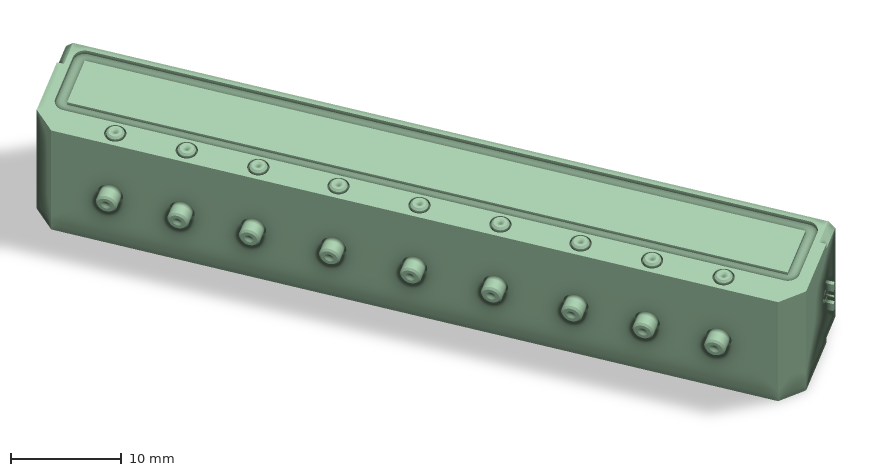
import cadquery as cq
import math

OVERALL_LENGTH = 74.4
OVERALL_WIDTH = 12.1
OVERALL_HEIGHT = 13.7

HOUSING_LENGTH = 72.85
HOUSING_WIDTH = 10.7
HOUSING_HEIGHT = 13.4
CORNER_CHAMFER = 2.0

GROOVE_SIDE_MARGIN = 1.2
GROOVE_BACK_MARGIN = 0.5
GROOVE_FRONT_MARGIN = 2.7
GROOVE_WIDTH = 1.1
GROOVE_DEPTH = 0.45
GROOVE_RADIUS = 1.1
PANEL_DROP = 0.11

BEVEL_LENGTH = 2.7
BEVEL_SIZE = 0.7

CONTACT_FROM_BACK = 2.8
CONTACT_PIN_DIAMETER = 0.2
CONTACT_RING_INNER = 0.9
CONTACT_RING_OUTER = 1.6
CONTACT_RING_DEPTH = 0.4
BLADE_THICKNESS = 0.4
BLADE_REACH = 1.8

PLUG_OFFSETS = [7.7, 15.25, 22.0, 28.8]
FRONT_STEM_DIAMETER = 2.0
TOP_STEM_DIAMETER = 1.6
TOP_STEM_FROM_FRONT = 1.4
TIP_CHAMFER = 0.185
FRONT_DIMPLE_DIAMETER = 0.9
TOP_DIMPLE_DIAMETER = 0.75
DIMPLE_ANGLE = 118.0
MOUTH_CLEARANCE = 0.185
MOUTH_DEPTH = 0.4

FRONT_Y = -HOUSING_WIDTH
END_X = HOUSING_LENGTH / 2
MID_Z = HOUSING_HEIGHT / 2
CONTACT_LENGTH = (OVERALL_LENGTH - HOUSING_LENGTH) / 2
TOP_STEM_Y = FRONT_Y + TOP_STEM_FROM_FRONT
FRONT_STEM_ROOT_Y = TOP_STEM_Y + FRONT_STEM_DIAMETER / 2
PLUG_XS = [-offset for offset in reversed(PLUG_OFFSETS)] + [0.0] + PLUG_OFFSETS


def rod(diameter, start, end):
    """Cylinder from one point to another."""
    axis = cq.Vector(*end) - cq.Vector(*start)
    return cq.Workplane(cq.Solid.makeCylinder(diameter / 2, axis.Length, cq.Vector(*start), axis))


def housing_block():
    """Plain block with its two front vertical corners chamfered."""
    block = cq.Workplane("XY").box(
        HOUSING_LENGTH, HOUSING_WIDTH, HOUSING_HEIGHT, centered=(True, False, False)
    )
    return block.translate((0, FRONT_Y, 0)).edges("|Z and <Y").chamfer(CORNER_CHAMFER)


def top_groove():
    """Material removed from the top face, leaving the panel standing."""
    length = HOUSING_LENGTH - 2 * GROOVE_SIDE_MARGIN
    width = HOUSING_WIDTH - GROOVE_BACK_MARGIN - GROOVE_FRONT_MARGIN
    center_y = -GROOVE_BACK_MARGIN - width / 2
    floor = cq.Workplane("XY", origin=(0, center_y, HOUSING_HEIGHT - GROOVE_DEPTH))
    pocket = floor.rect(length, width).extrude(GROOVE_DEPTH).edges("|Z").fillet(GROOVE_RADIUS)
    panel = floor.rect(length - 2 * GROOVE_WIDTH, width - 2 * GROOVE_WIDTH)
    return pocket.cut(panel.extrude(GROOVE_DEPTH - PANEL_DROP))


def end_bevel(side, edge_z, inward):
    """Triangular prism that bevels the end edge at height edge_z."""
    edge_x = side * END_X
    profile = [
        (edge_x, edge_z),
        (edge_x - side * BEVEL_SIZE, edge_z),
        (edge_x, edge_z + inward * BEVEL_SIZE),
    ]
    return cq.Workplane("XZ").polyline(profile).close().extrude(BEVEL_LENGTH)


def contact_groove(side):
    """Ring groove around the contact pin."""
    bottom = (side * (END_X - CONTACT_RING_DEPTH), -CONTACT_FROM_BACK, MID_Z)
    mouth = (side * END_X, -CONTACT_FROM_BACK, MID_Z)
    return rod(CONTACT_RING_OUTER, bottom, mouth).cut(rod(CONTACT_RING_INNER, bottom, mouth))


def contact_pin(side):
    root = (side * END_X, -CONTACT_FROM_BACK, MID_Z)
    tip = (side * (END_X + CONTACT_LENGTH), -CONTACT_FROM_BACK, MID_Z)
    return rod(CONTACT_PIN_DIAMETER, root, tip)


def contact_blade(side, up):
    """Blade that runs from the rim of the ring groove, upward or downward."""
    height = BLADE_REACH - CONTACT_RING_OUTER / 2
    center_x = side * (END_X + CONTACT_LENGTH / 2)
    center_z = MID_Z + up * (BLADE_REACH - height / 2)
    blade = cq.Workplane("XY").box(CONTACT_LENGTH, BLADE_THICKNESS, height)
    return blade.translate((center_x, -CONTACT_FROM_BACK, center_z))


def plug_bore(x):
    """Crossing holes that fit one plug, each widened at its mouth."""
    front_root = (x, FRONT_STEM_ROOT_Y, MID_Z)
    front_mouth = (x, FRONT_Y, MID_Z)
    front_step = (x, FRONT_Y + MOUTH_DEPTH, MID_Z)
    top_root = (x, TOP_STEM_Y, MID_Z)
    top_mouth = (x, TOP_STEM_Y, HOUSING_HEIGHT)
    top_step = (x, TOP_STEM_Y, HOUSING_HEIGHT - MOUTH_DEPTH)
    bore = rod(FRONT_STEM_DIAMETER, front_root, front_mouth)
    bore = bore.union(rod(TOP_STEM_DIAMETER, top_root, top_mouth))
    bore = bore.union(rod(FRONT_STEM_DIAMETER + 2 * MOUTH_CLEARANCE, front_step, front_mouth))
    return bore.union(rod(TOP_STEM_DIAMETER + 2 * MOUTH_CLEARANCE, top_step, top_mouth))


def make_housing():
    body = housing_block().cut(top_groove())
    for side in (-1, 1):
        body = body.cut(end_bevel(side, 0, 1))
        body = body.cut(end_bevel(side, HOUSING_HEIGHT, -1))
        body = body.cut(contact_groove(side))
        body = body.union(contact_pin(side))
        for up in (-1, 1):
            body = body.union(contact_blade(side, up))
    for x in PLUG_XS:
        body = body.cut(plug_bore(x))
    return body


def stem(diameter, length, dimple_diameter):
    """Stem along +Z from the origin, with a chamfered tip and a conical dimple in the tip."""
    radius = diameter / 2
    dimple_radius = dimple_diameter / 2
    dimple_depth = dimple_radius / math.tan(math.radians(DIMPLE_ANGLE / 2))
    profile = [
        (0, 0),
        (radius, 0),
        (radius, length - TIP_CHAMFER),
        (radius - TIP_CHAMFER, length),
        (dimple_radius, length),
        (0, length - dimple_depth),
    ]
    return cq.Workplane("XZ").polyline(profile).close().revolve(360, (0, 0, 0), (0, 1, 0))


def make_plug(x):
    """One elbow plug: the front stem points to -Y and the top stem to +Z."""
    front = stem(FRONT_STEM_DIAMETER, OVERALL_WIDTH + FRONT_STEM_ROOT_Y, FRONT_DIMPLE_DIAMETER)
    front = front.rotate((0, 0, 0), (1, 0, 0), 90).translate((x, FRONT_STEM_ROOT_Y, MID_Z))
    top = stem(TOP_STEM_DIAMETER, OVERALL_HEIGHT - MID_Z, TOP_DIMPLE_DIAMETER)
    return front.union(top.translate((x, TOP_STEM_Y, MID_Z)))


housing = make_housing().solids()
plugs = [make_plug(x).solids() for x in PLUG_XS]

result = cq.Compound.makeCompound([housing.val(), *[plug.val() for plug in plugs]])